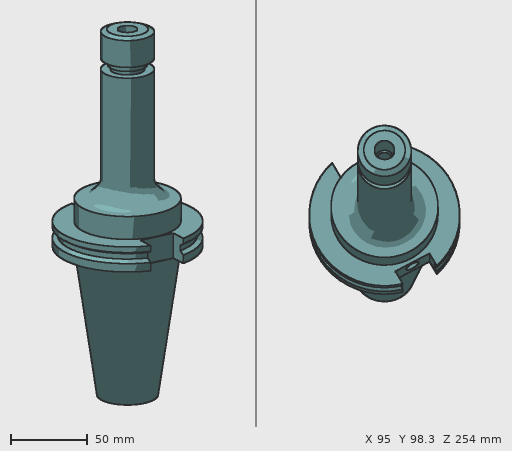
import cadquery as cq
import math

TAPER_LENGTH = 101.6
PROJECTION = 152.4
TOTAL_HEIGHT = TAPER_LENGTH + PROJECTION

GAUGE_DIAMETER = 69.85
TAPER_RATIO = 7 / 24
gauge_radius = GAUGE_DIAMETER / 2
taper_end_radius = gauge_radius - TAPER_LENGTH * TAPER_RATIO / 2

FLANGE_DIAMETER = 98.29
FLANGE_GAP = 1.6
FLANGE_TOP_ABOVE_GAUGE = 19.05
flange_bottom = TAPER_LENGTH + FLANGE_GAP
flange_top = TAPER_LENGTH + FLANGE_TOP_ABOVE_GAUGE
flange_radius = FLANGE_DIAMETER / 2
GROOVE_CENTER_OFFSET = 7.8
GROOVE_DEPTH = 3.4
GROOVE_FLOOR_WIDTH = 3.8
GROOVE_WALL_ANGLE = 30
groove_center = flange_top - GROOVE_CENTER_OFFSET
groove_floor_half = GROOVE_FLOOR_WIDTH / 2
groove_mouth_half = groove_floor_half + GROOVE_DEPTH * math.tan(math.radians(GROOVE_WALL_ANGLE))
groove_radius = flange_radius - GROOVE_DEPTH

COLLAR_TOP_ABOVE_GAUGE = 34.925
collar_top = TAPER_LENGTH + COLLAR_TOP_ABOVE_GAUGE
SHANK_DIAMETER = 35.0
shank_radius = SHANK_DIAMETER / 2
BLEND_SIZE = 13.7
BLEND_FILLET = 9.525
BLEND_CONE_ANGLE = 45

NUT_DIAMETER = 35.0
NUT_CHAMFER_WIDTH = 4.0
NUT_CHAMFER_HEIGHT = 1.6
NUT_LENGTH = 20.2
THREAD_DIAMETER = 26.0
THREAD_LENGTH = 4.5
NECK_DIAMETER = 22.6
NECK_LENGTH = 3.0
nut_radius = NUT_DIAMETER / 2
nut_bottom = TOTAL_HEIGHT - NUT_LENGTH
neck_top = nut_bottom - THREAD_LENGTH
shank_top = neck_top - NECK_LENGTH

COLLET_BORE_DIAMETER = 13.0
THROUGH_BORE_DIAMETER = 10.0
collet_bore_depth = NUT_LENGTH

SLOT_WIDTH = 25.4
SLOT_FLOOR_NEG_X = 37.7
SLOT_FLOOR_POS_X = 35.6

DIMPLE_DIAMETER = 9.525
DIMPLE_DEPTH = 5.0
DIMPLE_CENTER_OFFSET = 7.6
dimple_center = flange_top - DIMPLE_CENTER_OFFSET


def make_body():
    """Revolve the outer profile; the blend arcs are tangent to a 45 degree cone."""
    blend_top = collar_top + BLEND_SIZE
    blend_radius = shank_radius + BLEND_SIZE
    sin_cone = math.sin(math.radians(BLEND_CONE_ANGLE))
    short_leg = BLEND_FILLET * (1 - sin_cone)
    long_leg = BLEND_FILLET * sin_cone
    sin_half = math.sin(math.radians(BLEND_CONE_ANGLE / 2))
    cos_half = math.cos(math.radians(BLEND_CONE_ANGLE / 2))
    mid_short = BLEND_FILLET * (1 - cos_half)
    mid_long = BLEND_FILLET * sin_half

    profile = (
        cq.Workplane("XZ")
        .moveTo(0, 0)
        .lineTo(taper_end_radius, 0)
        .lineTo(gauge_radius, TAPER_LENGTH)
        .lineTo(gauge_radius, flange_bottom)
        .lineTo(flange_radius, flange_bottom)
        .lineTo(flange_radius, groove_center - groove_mouth_half)
        .lineTo(groove_radius, groove_center - groove_floor_half)
        .lineTo(groove_radius, groove_center + groove_floor_half)
        .lineTo(flange_radius, groove_center + groove_mouth_half)
        .lineTo(flange_radius, flange_top)
        .lineTo(gauge_radius, flange_top)
        .lineTo(gauge_radius, collar_top)
        .lineTo(blend_radius, collar_top)
        .threePointArc(
            (blend_radius - mid_long, collar_top + mid_short),
            (blend_radius - long_leg, collar_top + short_leg),
        )
        .lineTo(shank_radius + short_leg, blend_top - long_leg)
        .threePointArc(
            (shank_radius + mid_short, blend_top - mid_long),
            (shank_radius, blend_top),
        )
        .lineTo(shank_radius, shank_top)
        .lineTo(NECK_DIAMETER / 2, shank_top)
        .lineTo(NECK_DIAMETER / 2, neck_top)
        .lineTo(THREAD_DIAMETER / 2, neck_top)
        .lineTo(THREAD_DIAMETER / 2, nut_bottom)
        .lineTo(nut_radius, nut_bottom)
        .lineTo(nut_radius, TOTAL_HEIGHT - NUT_CHAMFER_HEIGHT)
        .lineTo(nut_radius - NUT_CHAMFER_WIDTH, TOTAL_HEIGHT)
        .lineTo(0, TOTAL_HEIGHT)
        .close()
    )
    return profile.revolve(360, (0, 0, 0), (0, 1, 0))


def make_bores():
    """Through bore with a wider collet bore opening at the nose."""
    through = cq.Workplane("XY").circle(THROUGH_BORE_DIAMETER / 2).extrude(TOTAL_HEIGHT)
    collet = (
        cq.Workplane("XY", origin=(0, 0, TOTAL_HEIGHT))
        .circle(COLLET_BORE_DIAMETER / 2)
        .extrude(-collet_bore_depth)
    )
    return through.union(collet)


def make_drive_slot(side, floor_distance):
    """Box that cuts the full flange height outward from the slot floor; side is -1 or +1."""
    length = flange_radius - floor_distance
    return (
        cq.Workplane("XY", origin=(side * (floor_distance + length / 2), 0, flange_bottom))
        .rect(length, SLOT_WIDTH)
        .extrude(flange_top - flange_bottom)
    )


def make_dimple():
    """Flat-bottomed blind hole running in +X from the floor of the -X slot."""
    return (
        cq.Workplane("YZ", origin=(-SLOT_FLOOR_NEG_X, 0, dimple_center))
        .circle(DIMPLE_DIAMETER / 2)
        .extrude(DIMPLE_DEPTH)
    )


result = (
    make_body()
    .cut(make_bores())
    .cut(make_drive_slot(-1, SLOT_FLOOR_NEG_X))
    .cut(make_drive_slot(1, SLOT_FLOOR_POS_X))
    .cut(make_dimple())
)